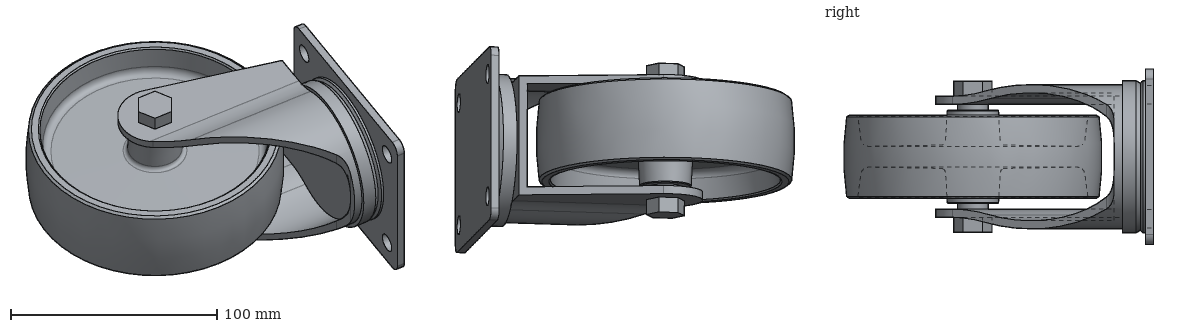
import cadquery as cq
import math


wheel_radius = 62.5
tread_edge_radius = 61.1
tread_edge_height = 19.2
rim_face_outer_radius = 59.7
rim_face_inner_radius = 56.4
wheel_half_width = 20.1
rim_wall_top_radius = 55.6
rim_wall_top_height = 19.3
rim_wall_foot_radius = 54.2
rim_wall_foot_height = 9.0
web_radius = 50.3
web_edge_height = 5.0
web_hub_height = 5.6

hub_flange_radius = 15.4
hub_foot_radius = 13.3
hub_foot_height = 7.8
hub_end_radius = 12.5
hub_half_length = 22.5
hub_chamfer = 0.5
axle_radius = 15.1 / 2
hex_across_flats = 16.1
hex_half_span = 36.5

swivel_x = 39.9
plate_length = 100.0
plate_height = 85.0
plate_thickness = 4.0
plate_outer_y = 87.3
plate_inner_y = plate_outer_y - plate_thickness
plate_corner_radius = 5.0
mount_hole_diameter = 9.0
mount_hole_spacing_x = 80.0
mount_hole_spacing_z = 60.0

ring_radius = 73.5 / 2
groove_depth = 1.2
groove_near_y = 82.1
groove_bottom_y = 80.9
groove_far_y = 78.9
ring_base_y = 72.2

fork_thickness = 4.0
fork_back_radius = 34.9
arm_outer_z = 29.2
arm_bend_x = 14.2
arm_end_radius = 18.0
arm_top_left_x = -2.1
arm_top_right_x = 66.4
fork_back_fillet = 8.4
fork_underside_y = ring_base_y - fork_thickness


def make_tread():
    """Barrel-shaped outer ring of the wheel, bevelled at both rim faces."""
    return (
        cq.Workplane("XZ")
        .moveTo(rim_face_inner_radius, -wheel_half_width)
        .lineTo(rim_face_outer_radius, -wheel_half_width)
        .lineTo(tread_edge_radius, -tread_edge_height)
        .threePointArc((wheel_radius, 0), (tread_edge_radius, tread_edge_height))
        .lineTo(rim_face_outer_radius, wheel_half_width)
        .lineTo(rim_face_inner_radius, wheel_half_width)
        .close()
        .revolve(360, (0, 0, 0), (0, 1, 0))
    )


def make_wheel_core():
    """Inner rim wall, web, hub and axle: one half is revolved and mirrored."""
    axle_end = arm_outer_z - fork_thickness
    fillet_mid_offset = 1 - math.sqrt(0.5)
    fillet_mid = (
        rim_wall_foot_radius - (rim_wall_foot_radius - web_radius) * fillet_mid_offset,
        web_edge_height + (rim_wall_foot_height - web_edge_height) * fillet_mid_offset,
    )
    hub_fillet_mid = (
        hub_foot_radius + (hub_flange_radius - hub_foot_radius) * fillet_mid_offset,
        web_hub_height + (hub_foot_height - web_hub_height) * fillet_mid_offset,
    )
    upper_half = (
        cq.Workplane("XZ")
        .lineTo(rim_face_inner_radius, 0)
        .lineTo(rim_face_inner_radius, wheel_half_width)
        .lineTo(rim_wall_top_radius, rim_wall_top_height)
        .lineTo(rim_wall_foot_radius, rim_wall_foot_height)
        .threePointArc(fillet_mid, (web_radius, web_edge_height))
        .lineTo(hub_flange_radius, web_hub_height)
        .threePointArc(hub_fillet_mid, (hub_foot_radius, hub_foot_height))
        .lineTo(hub_end_radius, hub_half_length - hub_chamfer)
        .lineTo(hub_end_radius - hub_chamfer, hub_half_length)
        .lineTo(axle_radius, hub_half_length)
        .lineTo(axle_radius, axle_end)
        .lineTo(0, axle_end)
        .close()
        .revolve(360, (0, 0, 0), (0, 1, 0))
    )
    return upper_half.union(upper_half.mirror("XY"))


def make_bolt_heads():
    """Hexagonal heads on the outside of both arms, with corners pointing along Y."""
    corner_diameter = hex_across_flats / math.cos(math.pi / 6)
    head_height = hex_half_span - arm_outer_z
    head = (
        cq.Workplane("XY")
        .workplane(offset=arm_outer_z)
        .transformed(rotate=(0, 0, 90))
        .polygon(6, corner_diameter)
        .extrude(head_height)
    )
    return head.union(head.mirror("XY"))


def make_plate():
    """Rounded mounting plate with four bolt holes."""
    return (
        cq.Workplane("XZ", origin=(swivel_x, plate_outer_y, 0))
        .rect(plate_length, plate_height)
        .extrude(plate_thickness)
        .edges("|Y")
        .fillet(plate_corner_radius)
        .faces("<Y")
        .workplane(centerOption="CenterOfBoundBox")
        .rect(mount_hole_spacing_x, mount_hole_spacing_z, forConstruction=True)
        .vertices()
        .hole(mount_hole_diameter)
    )


def make_swivel_ring():
    """Revolved ring between the plate and the fork."""
    return (
        cq.Workplane("XY", origin=(swivel_x, 0, 0))
        .moveTo(0, plate_inner_y)
        .lineTo(ring_radius, plate_inner_y)
        .lineTo(ring_radius, groove_near_y)
        .lineTo(ring_radius - groove_depth, groove_bottom_y)
        .lineTo(ring_radius, groove_far_y)
        .lineTo(ring_radius, ring_base_y)
        .lineTo(0, ring_base_y)
        .close()
        .revolve(360, (0, 0, 0), (0, 1, 0))
    )


def fork_plan(inset, depth):
    """Solid with the fork's keyhole plan, set in from the outer surface, running from the ring toward -Y."""
    back_radius = fork_back_radius - inset
    arm_z = arm_outer_z - inset
    bend_run = swivel_x - arm_bend_x
    outer_bend_radius = (bend_run**2 + arm_outer_z**2 - fork_back_radius**2) / (
        2 * (fork_back_radius - arm_outer_z)
    )
    bend_radius = outer_bend_radius + inset
    bend_center_z = arm_outer_z + outer_bend_radius
    bend_angle = math.atan2(bend_run, bend_center_z)

    def on_bend(angle):
        return arm_bend_x + bend_radius * math.sin(angle), bend_center_z - bend_radius * math.cos(angle)

    bend_mid = on_bend(bend_angle / 2)
    bend_end = on_bend(bend_angle)
    return (
        cq.Workplane("XZ", origin=(0, ring_base_y, 0))
        .moveTo(-arm_end_radius, -arm_z)
        .lineTo(-arm_end_radius, arm_z)
        .lineTo(arm_bend_x, arm_z)
        .threePointArc(bend_mid, bend_end)
        .threePointArc((swivel_x + back_radius, 0), (bend_end[0], -bend_end[1]))
        .threePointArc((bend_mid[0], -bend_mid[1]), (arm_bend_x, -arm_z))
        .close()
        .extrude(depth)
    )


def arm_end_tangent(x, y, turn):
    """Point where the line from (x, y) touches the arm end; turn is 1 for the -X side, -1 for the +X side."""
    angle = math.atan2(y, x) + turn * math.acos(arm_end_radius / math.hypot(x, y))
    return arm_end_radius * math.cos(angle), arm_end_radius * math.sin(angle)


def fork_side_profile():
    """Side silhouette of the fork: an arm end around the axle and a sloped, filleted back edge."""
    fork_back_x = swivel_x + fork_back_radius
    front_tangent = arm_end_tangent(arm_top_left_x, ring_base_y, 1)
    back_tangent = arm_end_tangent(arm_top_right_x, fork_underside_y, -1)
    profile = (
        cq.Workplane("XY", origin=(0, 0, -fork_back_radius))
        .moveTo(arm_top_left_x, ring_base_y)
        .lineTo(*front_tangent)
        .threePointArc((0, -arm_end_radius), back_tangent)
        .lineTo(arm_top_right_x, fork_underside_y)
        .lineTo(fork_back_x, fork_underside_y)
        .lineTo(fork_back_x, ring_base_y)
        .close()
        .extrude(2 * fork_back_radius)
    )
    slope_corner = cq.selectors.NearestToPointSelector((arm_top_right_x, fork_underside_y, 0))
    return profile.edges("|Z").edges(slope_corner).fillet(fork_back_fillet)


def make_fork():
    """Bent fork: hollow keyhole wall with a flat top, trimmed to the side silhouette."""
    depth = ring_base_y + arm_end_radius
    outer = fork_plan(0, depth)
    hollow = fork_plan(fork_thickness, depth).translate((0, -fork_thickness, 0))
    return outer.cut(hollow).intersect(fork_side_profile())


result = (
    make_plate()
    .union(make_swivel_ring())
    .union(make_fork())
    .union(make_wheel_core())
    .union(make_tread())
    .union(make_bolt_heads())
)